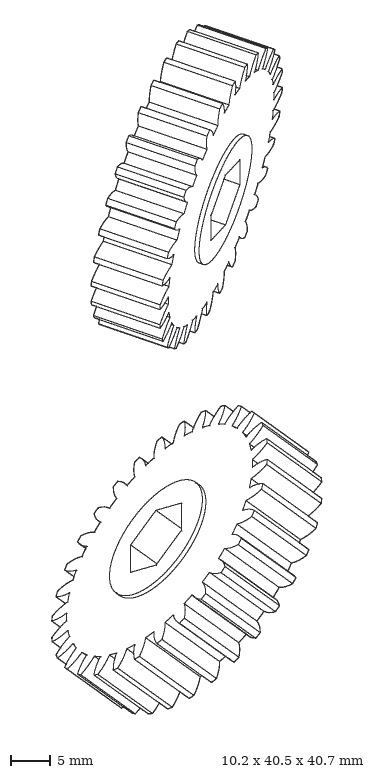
import math

import cadquery as cq

outer_diameter = 40.65
tooth_count = 30
dedendum_in_modules = 1.25
gear_width = 9.55
overall_width = 10.15
hub_diameter = 17.48
hex_across_flats = 9.5

root_thickness = 2.1
pitch_thickness = 1.83
tip_thickness = 0.95

module = outer_diameter / (tooth_count + 2)
outer_radius = outer_diameter / 2
pitch_radius = module * tooth_count / 2
root_radius = pitch_radius - dedendum_in_modules * module
tooth_pitch = 2 * math.pi / tooth_count
hex_across_corners = hex_across_flats / math.cos(math.pi / 6)


def polar(radius, angle):
    """Point (Y, Z) at a radius and angle around the gear axis."""
    return (radius * math.cos(angle), radius * math.sin(angle))


def half_angle(thickness, radius):
    """Half the angle that a tooth of this thickness spans at a radius."""
    return math.asin(thickness / 2 / radius)


def make_toothed_disc():
    """Disc with teeth whose flanks are single arcs from root to tip."""
    root_half = half_angle(root_thickness, root_radius)
    pitch_half = half_angle(pitch_thickness, pitch_radius)
    tip_half = half_angle(tip_thickness, outer_radius)

    first_tooth = math.pi / 2
    outline = cq.Workplane("YZ").moveTo(*polar(root_radius, first_tooth - root_half))
    for tooth in range(tooth_count):
        center = first_tooth + tooth * tooth_pitch
        gap_center = center + tooth_pitch / 2
        next_center = center + tooth_pitch
        outline = (
            outline.threePointArc(
                polar(pitch_radius, center - pitch_half),
                polar(outer_radius, center - tip_half),
            )
            .threePointArc(
                polar(outer_radius, center),
                polar(outer_radius, center + tip_half),
            )
            .threePointArc(
                polar(pitch_radius, center + pitch_half),
                polar(root_radius, center + root_half),
            )
            .threePointArc(
                polar(root_radius, gap_center),
                polar(root_radius, next_center - root_half),
            )
        )
    return outline.close().extrude(gear_width)


def make_hub():
    """Low round hub standing out of the +X face."""
    gear_face = cq.Workplane("YZ").workplane(offset=gear_width)
    return gear_face.circle(hub_diameter / 2).extrude(overall_width - gear_width)


def make_hex_bore():
    """Hexagonal through bore with two corners toward +Z and -Z."""
    bore = cq.Workplane("YZ").transformed(rotate=(0, 0, 90))
    return bore.polygon(6, hex_across_corners).extrude(overall_width)


result = make_toothed_disc().union(make_hub()).cut(make_hex_bore())